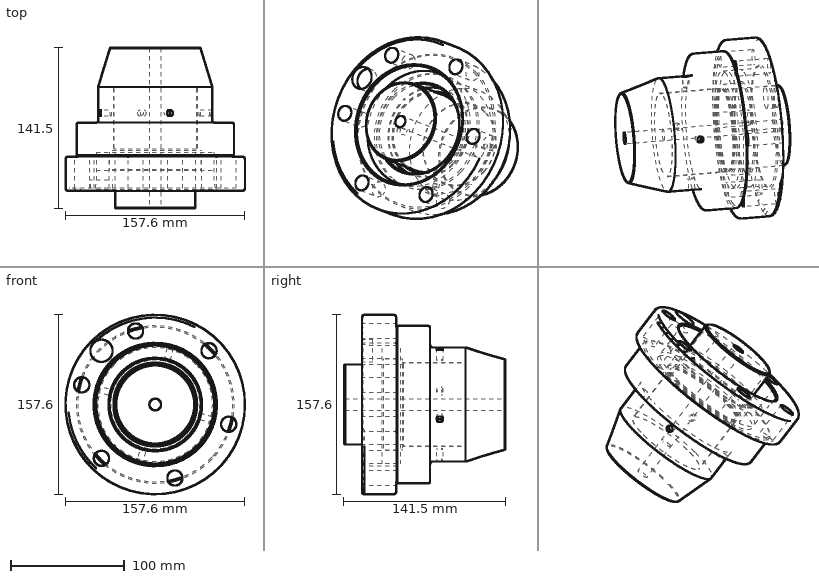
import cadquery as cq
import math


shaft_overhang = 15.5
flange_thickness = 30.3
collar_thickness = 29.8
neck_length = 31.0
nose_length = 34.9
collar_front = flange_thickness
collar_back = collar_front + collar_thickness
neck_back = collar_back + neck_length
nose_back = neck_back + nose_length

bore_radius = 5.0

flange_radius = 78.8
flange_fillet = 2.5
socket_mouth_radius = 53.0
socket_end_radius = 51.7
socket_mouth_fillet = 1.3
socket_taper_depth = 8.7
hole_circle_radius = 66.7
bolt_count = 6
first_bolt_angle = 45.0
bolt_hole_radius = 6.6
key_hole_radius = 9.8
key_hole_depth = 9.5
key_hole_angle = 135.0

ring_front = 17.8
ring_back = 33.9
ring_outer_radius = socket_end_radius
ring_bore_radius = 40.0
ring_bore_chamfer = 1.1

collar_radius = 69.2
collar_chamfer = 1.3
collar_fillet = 2.0
neck_radius = 50.1
neck_fillet = 1.9
housing_recess_depth = 1.7
housing_bore_radius = 36.9
side_hole_count = 4
first_side_hole_angle = 75.0
side_hole_radius = 2.7
side_hole_depth = 9.8
side_hole_overrun = 1.5
side_hole_y = 68.5

shaft_radius = 35.3
shaft_chamfer = 1.1
head_radius = 36.5
head_front = ring_back + housing_recess_depth
head_taper_length = head_radius - shaft_radius

nose_rim_length = 0.5
nose_tip_radius = 39.9
nose_tip_chamfer = 0.8


def revolve_about_axis(outline):
    """Turn a closed outline of radius and Y about the Y axis."""
    return outline.close().revolve(360, (0, 0, 0), (0, 1, 0))


def axial_hole(radius, depth, circle_radius, angle):
    """Cutter that runs from the flange face into +Y, at an angle from +X towards +Z."""
    x = circle_radius * math.cos(math.radians(angle))
    z = circle_radius * math.sin(math.radians(angle))
    return cq.Workplane(cq.Solid.makeCylinder(radius, depth, cq.Vector(x, 0, z), cq.Vector(0, 1, 0)))


def make_flange():
    body = revolve_about_axis(
        cq.Workplane("XY")
        .moveTo(socket_mouth_radius + socket_mouth_fillet, 0)
        .lineTo(flange_radius - flange_fillet, 0)
        .radiusArc((flange_radius, flange_fillet), -flange_fillet)
        .lineTo(flange_radius, flange_thickness - flange_fillet)
        .radiusArc((flange_radius - flange_fillet, flange_thickness), -flange_fillet)
        .lineTo(socket_end_radius, flange_thickness)
        .lineTo(socket_end_radius, socket_taper_depth)
        .lineTo(socket_mouth_radius, socket_mouth_fillet)
        .radiusArc((socket_mouth_radius + socket_mouth_fillet, 0), socket_mouth_fillet)
    )
    for i in range(bolt_count):
        angle = first_bolt_angle + i * 360 / bolt_count
        body = body.cut(axial_hole(bolt_hole_radius, flange_thickness, hole_circle_radius, angle))
    return body.cut(axial_hole(key_hole_radius, key_hole_depth, hole_circle_radius, key_hole_angle))


def make_locating_ring():
    return revolve_about_axis(
        cq.Workplane("XY")
        .moveTo(ring_bore_radius + ring_bore_chamfer, ring_front)
        .lineTo(ring_outer_radius, ring_front)
        .lineTo(ring_outer_radius, ring_back)
        .lineTo(ring_bore_radius, ring_back)
        .lineTo(ring_bore_radius, ring_front + ring_bore_chamfer)
    )


def side_hole(angle):
    """Cutter for a blind radial hole in the neck, at an angle from +X towards +Z."""
    outward = cq.Vector(math.cos(math.radians(angle)), 0, math.sin(math.radians(angle)))
    start = outward * (neck_radius - side_hole_depth) + cq.Vector(0, side_hole_y, 0)
    return cq.Workplane(cq.Solid.makeCylinder(side_hole_radius, side_hole_depth + side_hole_overrun, start, outward))


def make_housing():
    body = revolve_about_axis(
        cq.Workplane("XY")
        .moveTo(ring_bore_radius, ring_back)
        .lineTo(ring_outer_radius, ring_back)
        .lineTo(ring_outer_radius, collar_front)
        .lineTo(collar_radius - collar_chamfer, collar_front)
        .lineTo(collar_radius, collar_front + collar_chamfer)
        .lineTo(collar_radius, collar_back - collar_fillet)
        .radiusArc((collar_radius - collar_fillet, collar_back), -collar_fillet)
        .lineTo(neck_radius + neck_fillet, collar_back)
        .radiusArc((neck_radius, collar_back + neck_fillet), neck_fillet)
        .lineTo(neck_radius, neck_back)
        .lineTo(housing_bore_radius, neck_back)
        .lineTo(housing_bore_radius, head_front)
        .lineTo(ring_bore_radius, head_front)
    )
    for i in range(side_hole_count):
        body = body.cut(side_hole(first_side_hole_angle + i * 360 / side_hole_count))
    return body


def make_shaft():
    return revolve_about_axis(
        cq.Workplane("XY")
        .moveTo(bore_radius, -shaft_overhang)
        .lineTo(shaft_radius - shaft_chamfer, -shaft_overhang)
        .lineTo(shaft_radius, shaft_chamfer - shaft_overhang)
        .lineTo(shaft_radius, head_front)
        .lineTo(head_radius, head_front + head_taper_length)
        .lineTo(head_radius, neck_back)
        .lineTo(bore_radius, neck_back)
    )


def make_nose():
    return revolve_about_axis(
        cq.Workplane("XY")
        .moveTo(bore_radius, neck_back)
        .lineTo(neck_radius, neck_back)
        .lineTo(neck_radius, neck_back + nose_rim_length)
        .lineTo(nose_tip_radius, nose_back - nose_tip_chamfer)
        .lineTo(nose_tip_radius - nose_tip_chamfer, nose_back)
        .lineTo(bore_radius, nose_back)
    )


flange = make_flange()
locating_ring = make_locating_ring()
housing = make_housing()
shaft = make_shaft()
nose = make_nose()

result = cq.Compound.makeCompound(
    [flange.val(), locating_ring.val(), housing.val(), shaft.val(), nose.val()]
)